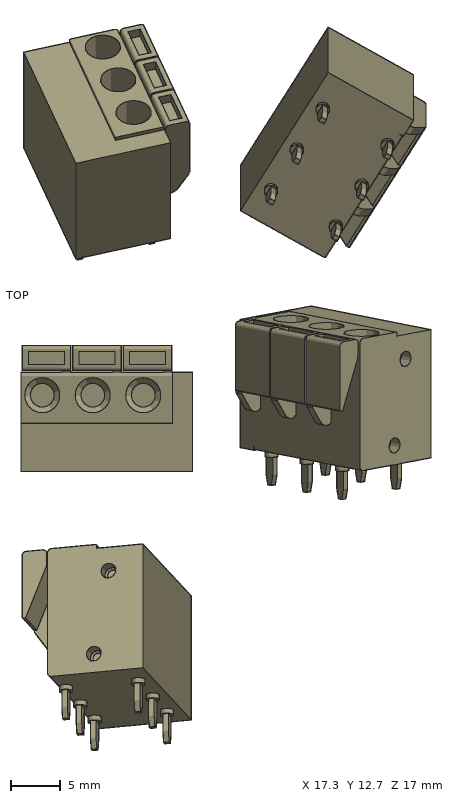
import cadquery as cq
import math


overall_length = 17.26
pole_count = 3
end_plate_thickness = 2.02
poles_length = overall_length - end_plate_thickness
pole_pitch = poles_length / pole_count
housing_depth = 10.01
housing_height = 13.57
front_height = 13.15
step_y = 4.83
step_radius = 0.15
back_radius = 0.45

wire_x = 2.14
wire_y = 7.68
wire_radius = 1.76
wire_end_radius = 1.19
wire_straight_depth = 5.18
wire_cone_depth = 0.57

socket_centers = [(3.6, 10.65), (5.15, 1.98)]
socket_radius = 0.76
socket_end_radius = 0.55
socket_straight_depth = 1.38
socket_cone_depth = 0.2

cap_width = 4.9
cap_x = 0.12
cap_inner_y = 10.15
cap_outer_y = 12.7
cap_edge_radius = 0.41
cap_bottom_z = 6.49
cap_bottom_inner_y = 12.34
cap_bottom_chamfer = 0.09
cap_slant_top_z = 11.77
window_width = 3.65
window_depth_y = 1.3
window_depth = 1.0
arm_width = 0.86
arm_contact_z = 9.79
arm_outer_y = cap_outer_y - cap_bottom_chamfer
arm_shoulder_z = 6.3
arm_tip_y = 10.61
arm_tip_z = 4.21
arm_tip_radius = 1.04

pin_x = 3.5
pin_front_y = 1.5
pin_row_spacing = 7.6
collar_radius = 0.67
collar_height = 0.5
pin_width = 0.98
pin_thickness = 0.59
pin_tip_width = 0.5
pin_length = 3.43
pin_tip_length = 1.07


def extrude_along_x(outline, start_x, length):
    """Extrude a closed YZ outline in +X from start_x."""
    return outline.close().extrude(length).translate((start_x, 0, 0))


def housing():
    outline = (
        cq.Workplane("YZ")
        .lineTo(0, front_height)
        .lineTo(step_y, front_height)
        .lineTo(step_y, housing_height - step_radius)
        .radiusArc((step_y + step_radius, housing_height), step_radius)
        .lineTo(housing_depth - back_radius, housing_height)
        .radiusArc((housing_depth, housing_height - back_radius), back_radius)
        .lineTo(housing_depth, back_radius)
        .radiusArc((housing_depth - back_radius, 0), back_radius)
    )
    return extrude_along_x(outline, 0, poles_length)


def end_plate():
    plate = cq.Workplane().box(end_plate_thickness, housing_depth, front_height, centered=False)
    return plate.translate((poles_length, 0, 0))


def cone_ended_bore(mouth, direction, radius, end_radius, straight_depth, cone_depth):
    """Round bore from mouth along a unit direction, narrowing to end_radius at its floor."""
    straight = cq.Solid.makeCylinder(radius, straight_depth, mouth, direction)
    cone_start = mouth + direction * straight_depth
    cone = cq.Solid.makeCone(radius, end_radius, cone_depth, cone_start, direction)
    return cq.Workplane(straight).union(cq.Workplane(cone))


def wire_entry(pole_x):
    mouth = cq.Vector(pole_x + wire_x, wire_y, housing_height)
    downward = cq.Vector(0, 0, -1)
    return cone_ended_bore(
        mouth, downward, wire_radius, wire_end_radius, wire_straight_depth, wire_cone_depth
    )


def socket(y, z):
    mouth = cq.Vector(0, y, z)
    inward = cq.Vector(1, 0, 0)
    return cone_ended_bore(
        mouth, inward, socket_radius, socket_end_radius, socket_straight_depth, socket_cone_depth
    )


def lever_cap(pole_x):
    outline = (
        cq.Workplane("YZ")
        .moveTo(cap_inner_y, cap_slant_top_z)
        .lineTo(cap_inner_y, housing_height - cap_edge_radius)
        .radiusArc((cap_inner_y + cap_edge_radius, housing_height), cap_edge_radius)
        .lineTo(cap_outer_y - cap_edge_radius, housing_height)
        .radiusArc((cap_outer_y, housing_height - cap_edge_radius), cap_edge_radius)
        .lineTo(cap_outer_y, cap_bottom_z + cap_bottom_chamfer)
        .lineTo(cap_outer_y - cap_bottom_chamfer, cap_bottom_z)
        .lineTo(cap_bottom_inner_y, cap_bottom_z)
    )
    cap = extrude_along_x(outline, pole_x + cap_x, cap_width)
    window = cq.Workplane().box(
        window_width, window_depth_y, window_depth, centered=(True, True, False)
    )
    window_x = pole_x + cap_x + cap_width / 2
    window_y = (cap_inner_y + cap_outer_y) / 2
    return cap.cut(window.translate((window_x, window_y, housing_height - window_depth)))


def lever_arm(pole_x):
    tip_center_z = arm_tip_z + arm_tip_radius
    shoulder_dy = arm_outer_y - arm_tip_y
    shoulder_dz = arm_shoulder_z - tip_center_z
    shoulder_angle = math.atan2(shoulder_dz, shoulder_dy)
    tangent_swing = math.acos(arm_tip_radius / math.hypot(shoulder_dy, shoulder_dz))
    tangent_angle = shoulder_angle - tangent_swing
    tangent_y = arm_tip_y + arm_tip_radius * math.cos(tangent_angle)
    tangent_z = tip_center_z + arm_tip_radius * math.sin(tangent_angle)
    wall_dy = arm_tip_y - housing_depth
    wall_z = tip_center_z - math.sqrt(arm_tip_radius**2 - wall_dy**2)

    outline = (
        cq.Workplane("YZ")
        .moveTo(housing_depth, wall_z)
        .lineTo(housing_depth, arm_contact_z)
        .lineTo(cap_inner_y, arm_contact_z)
        .lineTo(cap_inner_y, cap_slant_top_z)
        .lineTo(cap_bottom_inner_y, cap_bottom_z)
        .lineTo(arm_outer_y, cap_bottom_z)
        .lineTo(arm_outer_y, arm_shoulder_z)
        .lineTo(tangent_y, tangent_z)
        .threePointArc((arm_tip_y, arm_tip_z), (housing_depth, wall_z))
    )
    return extrude_along_x(outline, pole_x + cap_x + cap_width - arm_width, arm_width)


def pin(x, y):
    collar = cq.Workplane().circle(collar_radius).extrude(-collar_height)
    taper_start_z = pin_tip_length - pin_length
    blade = (
        cq.Workplane("XZ")
        .polyline([
            (-pin_width / 2, -collar_height),
            (pin_width / 2, -collar_height),
            (pin_width / 2, taper_start_z),
            (pin_tip_width / 2, -pin_length),
            (-pin_tip_width / 2, -pin_length),
            (-pin_width / 2, taper_start_z),
        ])
        .close()
        .extrude(pin_thickness / 2, both=True)
    )
    return collar.union(blade).translate((x, y, 0))


result = housing().union(end_plate())
for y, z in socket_centers:
    result = result.cut(socket(y, z))
for pole in range(pole_count):
    pole_x = pole * pole_pitch
    result = result.cut(wire_entry(pole_x))
    result = result.union(lever_arm(pole_x)).union(lever_cap(pole_x))
    for pin_y in (pin_front_y, pin_front_y + pin_row_spacing):
        result = result.union(pin(pole_x + pin_x, pin_y))